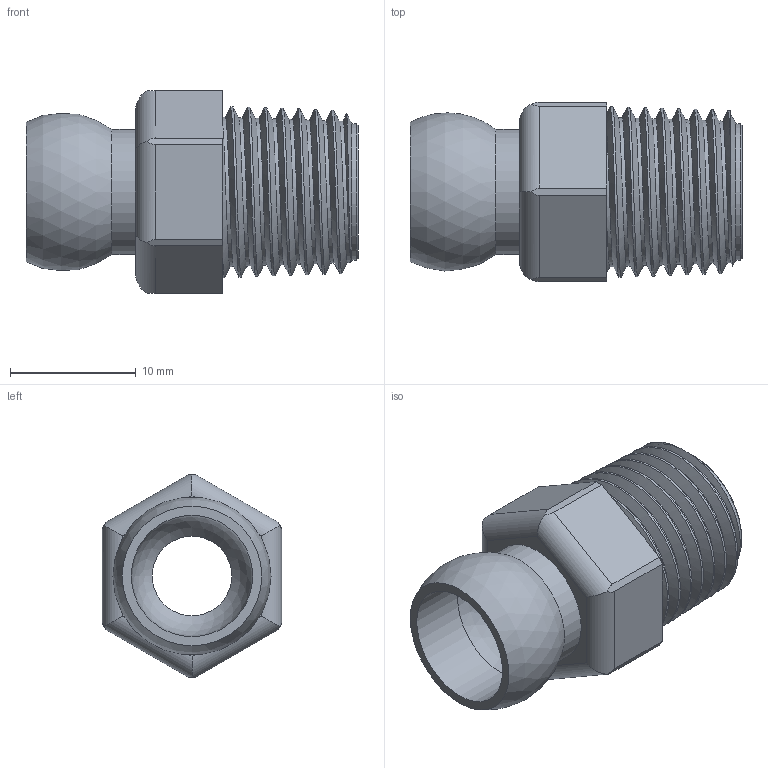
import cadquery as cq
import math


ball_radius = 6.3
ball_center_x = 2.97
neck_radius = 4.98

hex_start_x = 8.72
hex_end_x = 15.68
hex_across_flats = 14.27
hex_across_trimmed_corners = 16.13
hex_fillet_radius = 1.6
hex_half_sector = 30

total_length = 26.44
thread_pitch = 1.337
thread_turns = 9
crest_start_x = 16.38
crest_start_radius = 6.80
thread_taper = 0.034
thread_depth = 0.86
thread_crest_width = 0.18
thread_root_width = 1.03
thread_overlap = 0.1
envelope_radius = 7.5
lead_in_start_x = 25.52
lead_in_start_radius = 6.26
pilot_start_x = 25.93
pilot_radius = 5.45
pilot_chamfer = 0.12

bore_radius = 3.175
socket_radius = 4.83
socket_depth = 4.6


def revolve_about_x(profile):
    """Turn a closed half profile, drawn as (x, radius), into a solid."""
    return profile.close().revolve(360, (0, 0, 0), (1, 0, 0))


def crest_radius_at(x):
    return crest_start_radius - thread_taper * (x - crest_start_x)


def root_radius_at(x):
    return crest_radius_at(x) - thread_depth


def make_ball_and_neck():
    face_radius = math.sqrt(ball_radius**2 - ball_center_x**2)
    neck_start_x = ball_center_x + math.sqrt(ball_radius**2 - neck_radius**2)
    profile = (
        cq.Workplane("XY")
        .lineTo(0, face_radius)
        .threePointArc((ball_center_x, ball_radius), (neck_start_x, neck_radius))
        .lineTo(hex_end_x, neck_radius)
        .lineTo(hex_end_x, 0)
    )
    return revolve_about_x(profile)


def make_hex_prism(across_flats, flat_direction):
    """Hexagonal prism with one pair of flats facing flat_direction degrees from +Y."""
    across_corners = across_flats / math.cos(math.radians(hex_half_sector))
    return (
        cq.Workplane("YZ", origin=(hex_start_x, 0, 0))
        .polygon(6, across_corners)
        .extrude(hex_end_x - hex_start_x)
        .rotate((0, 0, 0), (1, 0, 0), flat_direction + hex_half_sector)
    )


def make_hexagon():
    """Hexagon rounded around its front face, with its six corners trimmed flat."""
    body = make_hex_prism(hex_across_flats, 0).faces("<X").edges().fillet(hex_fillet_radius)
    corner_trim = make_hex_prism(hex_across_trimmed_corners, hex_half_sector)
    return body.intersect(corner_trim)


def make_root_cone():
    """Tapered core that carries the thread ridge."""
    profile = (
        cq.Workplane("XY")
        .moveTo(hex_end_x, 0)
        .lineTo(hex_end_x, root_radius_at(hex_end_x))
        .lineTo(total_length, root_radius_at(total_length))
        .lineTo(total_length, 0)
    )
    return revolve_about_x(profile)


def make_thread_envelope():
    """Space the thread may fill: behind the hexagon, then inside the lead-in and pilot."""
    profile = (
        cq.Workplane("XY")
        .moveTo(hex_end_x, 0)
        .lineTo(hex_end_x, envelope_radius)
        .lineTo(lead_in_start_x, envelope_radius)
        .lineTo(lead_in_start_x, lead_in_start_radius)
        .lineTo(pilot_start_x, pilot_radius)
        .lineTo(total_length - pilot_chamfer, pilot_radius)
        .lineTo(total_length, pilot_radius - pilot_chamfer)
        .lineTo(total_length, 0)
    )
    return revolve_about_x(profile)


def make_thread_ridge():
    """Right-handed ridge, swept along local Z from its small end and then turned to -X."""
    helix_height = thread_turns * thread_pitch
    small_end_x = crest_start_x + (thread_turns - 1) * thread_pitch
    root_radius = root_radius_at(small_end_x)
    crest_radius = crest_radius_at(small_end_x)
    taper_angle = math.degrees(math.atan(thread_taper))
    flank_run = (thread_root_width - thread_crest_width) / 2 / thread_depth
    base_half_width = thread_root_width / 2 + flank_run * thread_overlap
    crest_half_width = thread_crest_width / 2
    base_radius = root_radius - thread_overlap

    path = cq.Wire.makeHelix(thread_pitch, helix_height, root_radius, angle=taper_angle)
    ridge = (
        cq.Workplane("XZ")
        .moveTo(base_radius, -base_half_width)
        .lineTo(crest_radius, -crest_half_width)
        .lineTo(crest_radius, crest_half_width)
        .lineTo(base_radius, base_half_width)
        .close()
        .sweep(cq.Workplane(obj=path), isFrenet=True)
    )
    return ridge.rotate((0, 0, 0), (0, 1, 0), -90).translate((small_end_x, 0, 0))


def make_passage():
    """Through bore opening into a round-bottomed socket in the ball."""
    bore_start_x = socket_depth + math.sqrt(socket_radius**2 - bore_radius**2)
    bore_edge_angle = math.asin(bore_radius / socket_radius)
    middle_angle = (bore_edge_angle + math.pi / 2) / 2
    arc_middle = (
        socket_depth + socket_radius * math.cos(middle_angle),
        socket_radius * math.sin(middle_angle),
    )
    profile = (
        cq.Workplane("XY")
        .lineTo(0, socket_radius)
        .lineTo(socket_depth, socket_radius)
        .threePointArc(arc_middle, (bore_start_x, bore_radius))
        .lineTo(total_length, bore_radius)
        .lineTo(total_length, 0)
    )
    return revolve_about_x(profile)


thread = make_root_cone().union(make_thread_ridge()).intersect(make_thread_envelope())
result = (
    thread
    .union(make_hexagon())
    .union(make_ball_and_neck())
    .cut(make_passage())
)